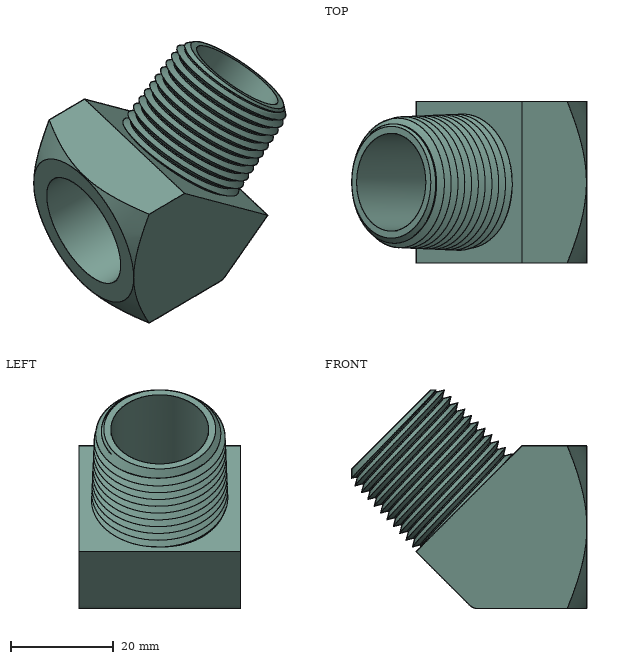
import cadquery as cq
import math


body_width = 31.45
body_height = 31.8
female_face_x = 19.05
male_shoulder = 6.7
lower_slant = 13.4
heel_radius = 2.05

face_chamfer_angle = 30
face_chamfer_radius = body_width / 2

male_end = 26.92
end_radius = 10.9
male_bore_radius = 9.52
female_bore_radius = 11.65
female_bore_overrun = 1.15

turns_in_span = 11
threaded_span = 19.95
pitch = threaded_span / turns_in_span
thread_depth = 1.35
ridge_width = 1.65
thread_turns = turns_in_span + 3
thread_start = 5.1
start_crest_radius = 13.35
taper_angle = math.degrees(math.atan(1 / 32))
root_overlap = 0.1

male_plane = cq.Plane(origin=(0, 0, 0), xDir=(1, 0, 1), normal=(-1, 0, 1))


def cone_radius(start_radius, distance):
    """Radius of the tapered thread cone at a distance along the male axis."""
    return start_radius - (distance - thread_start) * math.tan(math.radians(taper_angle))


def make_body():
    half_height = body_height / 2
    root_two = math.sqrt(2)
    shoulder_top_x = half_height - male_shoulder * root_two
    heel_x = half_height - lower_slant * root_two
    left_x = -(male_shoulder + lower_slant) / root_two
    left_z = (male_shoulder - lower_slant) / root_two
    body = (
        cq.Workplane("XZ")
        .polyline([
            (female_face_x, -half_height),
            (female_face_x, half_height),
            (shoulder_top_x, half_height),
            (left_x, left_z),
            (heel_x, -half_height),
        ])
        .close()
        .extrude(body_width / 2, both=True)
    )
    body = body.edges(cq.selectors.NearestToPointSelector((heel_x, 0, -half_height))).fillet(heel_radius)

    bar_length = 2 * female_face_x
    bar_radius = face_chamfer_radius + bar_length / math.tan(math.radians(face_chamfer_angle))
    coned_bar = (
        cq.Workplane("XY")
        .polyline([
            (female_face_x - bar_length, 0),
            (female_face_x, 0),
            (female_face_x, face_chamfer_radius),
            (female_face_x - bar_length, bar_radius),
        ])
        .close()
        .revolve(360, (0, 0, 0), (1, 0, 0))
    )
    return body.intersect(coned_bar)


def thread_helix(start, radius):
    return cq.Wire.makeHelix(
        pitch, pitch * thread_turns, radius, cq.Vector(0, 0, start), cq.Vector(0, 0, 1), -taper_angle
    )


def make_thread_ridge():
    """Triangular ridge skinned between its crest helix and two root helices."""
    sunk_depth = thread_depth + root_overlap
    half_width = ridge_width / 2
    crest = thread_helix(thread_start, start_crest_radius)
    root_radius = start_crest_radius - sunk_depth
    lower = thread_helix(thread_start - half_width, root_radius)
    upper = thread_helix(thread_start + half_width, root_radius)
    faces = [
        cq.Face.makeRuledSurface(lower, crest),
        cq.Face.makeRuledSurface(crest, upper),
        cq.Face.makeRuledSurface(upper, lower),
    ]
    for path_end in (0, 1):
        corners = [helix.positionAt(path_end) for helix in (lower, crest, upper)]
        faces.append(cq.Face.makeFromWires(cq.Wire.makePolygon(corners, close=True)))
    skin = []
    for face in faces:
        skin.extend(face.Faces())
    return cq.Solid.makeSolid(cq.Shell.makeShell(skin)).fix()


def make_male_end():
    """Threaded spigot along +Z, with its end chamfered at 45 degrees."""
    root_radius = start_crest_radius - thread_depth
    spigot = (
        cq.Workplane("XZ")
        .polyline([
            (0, 0),
            (cone_radius(root_radius, 0), 0),
            (cone_radius(root_radius, male_end), male_end),
            (0, male_end),
        ])
        .close()
        .revolve(360, (0, 0, 0), (0, 1, 0))
        .union(cq.Workplane(make_thread_ridge()))
    )
    chamfer_envelope = (
        cq.Workplane("XZ")
        .polyline([(0, 0), (end_radius + male_end, 0), (end_radius, male_end), (0, male_end)])
        .close()
        .revolve(360, (0, 0, 0), (0, 1, 0))
    )
    return spigot.intersect(chamfer_envelope)


def cut_bores(elbow):
    male_bore = cq.Workplane(male_plane).circle(male_bore_radius).extrude(male_end)
    female_bore = (
        cq.Workplane("YZ", origin=(-female_bore_overrun, 0, 0))
        .circle(female_bore_radius)
        .extrude(female_bore_overrun + female_face_x)
    )
    return elbow.cut(male_bore).cut(female_bore)


male_solid = cq.Workplane(make_male_end().val().moved(cq.Location(male_plane)))
result = cut_bores(make_body().union(male_solid))